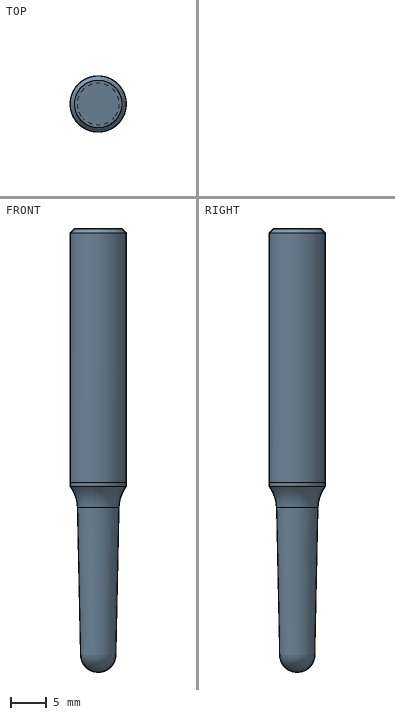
import cadquery as cq
import math

total_length = 63.0
shank_bottom = 26.95
collar_bottom = 26.4
taper_top = 23.4

shank_radius = 8.0 / 2
shank_chamfer = 0.6
taper_top_radius = 2.95
ball_radius = 2.5

rise_to_taper_top = taper_top - ball_radius
centre_distance = math.hypot(taper_top_radius, rise_to_taper_top)
side_normal_angle = (
    math.asin(ball_radius / centre_distance)
    - math.atan2(taper_top_radius, rise_to_taper_top)
)


def ball_point(angle):
    """Point on the ball profile at an angle above the horizontal through its centre."""
    return (ball_radius * math.cos(angle), ball_radius + ball_radius * math.sin(angle))


def revolve_profile(profile):
    """Turn a closed radius-height profile about the Z axis."""
    return profile.close().revolve(360, (0, 0, 0), (0, 1, 0))


def make_shank():
    """Plain cylinder chamfered at its top end."""
    shank = (
        cq.Workplane("XY")
        .workplane(offset=shank_bottom)
        .circle(shank_radius)
        .extrude(total_length - shank_bottom)
    )
    return shank.faces(">Z").edges().chamfer(shank_chamfer)


def make_neck():
    """Short collar above a concave flare that leaves the tapered cutter tangentially."""
    width = shank_radius - taper_top_radius
    height = collar_bottom - taper_top
    outward = (math.cos(side_normal_angle), math.sin(side_normal_angle))
    flare_radius = (width**2 + height**2) / (2 * (width * outward[0] + height * outward[1]))
    centre = (
        taper_top_radius + flare_radius * outward[0],
        taper_top + flare_radius * outward[1],
    )
    start_angle = math.atan2(taper_top - centre[1], taper_top_radius - centre[0]) % math.tau
    end_angle = math.atan2(collar_bottom - centre[1], shank_radius - centre[0]) % math.tau
    middle_angle = (start_angle + end_angle) / 2
    flare_middle = (
        centre[0] + flare_radius * math.cos(middle_angle),
        centre[1] + flare_radius * math.sin(middle_angle),
    )
    return revolve_profile(
        cq.Workplane("XZ")
        .moveTo(0, taper_top)
        .lineTo(taper_top_radius, taper_top)
        .threePointArc(flare_middle, (shank_radius, collar_bottom))
        .lineTo(shank_radius, shank_bottom)
        .lineTo(0, shank_bottom)
    )


def make_cutter():
    """Slender taper ending in a ball nose tangent to its side."""
    nose_middle_angle = (side_normal_angle - math.pi / 2) / 2
    return revolve_profile(
        cq.Workplane("XZ")
        .moveTo(0, 0)
        .threePointArc(ball_point(nose_middle_angle), ball_point(side_normal_angle))
        .lineTo(taper_top_radius, taper_top)
        .lineTo(0, taper_top)
    )


shank = make_shank()
neck = make_neck()
cutter = make_cutter()

result = cq.Compound.makeCompound([shank.val(), neck.val(), cutter.val()])